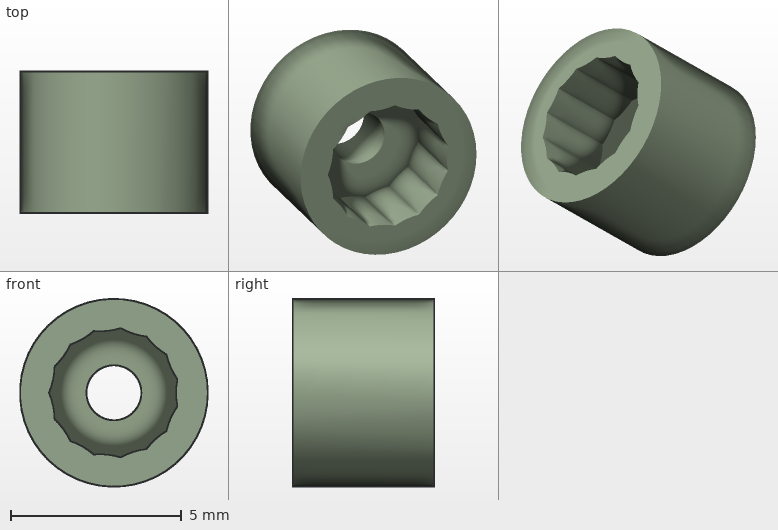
import cadquery as cq
import math

OUTER_DIAMETER = 5.5
LENGTH = 4.15
BORE_DIAMETER = 1.6

SOCKET_DEPTH = 2.45
GROOVE_COUNT = 15
GROOVE_TIP_RADIUS = 1.9
LOBE_CREST_RADIUS = 1.82
GROOVE_PITCH = 2 * math.pi / GROOVE_COUNT
FIRST_GROOVE_ANGLE = math.pi

FRONT_Y = -LENGTH / 2


def polar(radius, angle):
    """Cross-section point at the given radius and angle from the sleeve axis."""
    return (radius * math.cos(angle), radius * math.sin(angle))


def make_sleeve():
    """Plain cylinder with the through bore, growing from the front face towards +Y."""
    return (
        cq.Workplane("XZ", origin=(0, FRONT_Y, 0))
        .circle(OUTER_DIAMETER / 2)
        .circle(BORE_DIAMETER / 2)
        .extrude(-LENGTH)
    )


def make_socket():
    """Socket volume: sharp grooves joined by arcs that bulge towards the axis."""
    first_tip = polar(GROOVE_TIP_RADIUS, FIRST_GROOVE_ANGLE)
    profile = cq.Workplane("XZ", origin=(0, FRONT_Y, 0)).moveTo(*first_tip)
    for groove in range(GROOVE_COUNT):
        start_angle = FIRST_GROOVE_ANGLE + groove * GROOVE_PITCH
        crest = polar(LOBE_CREST_RADIUS, start_angle + GROOVE_PITCH / 2)
        next_tip = polar(GROOVE_TIP_RADIUS, start_angle + GROOVE_PITCH)
        profile = profile.threePointArc(crest, next_tip)
    return profile.close().extrude(-SOCKET_DEPTH)


result = make_sleeve().cut(make_socket())